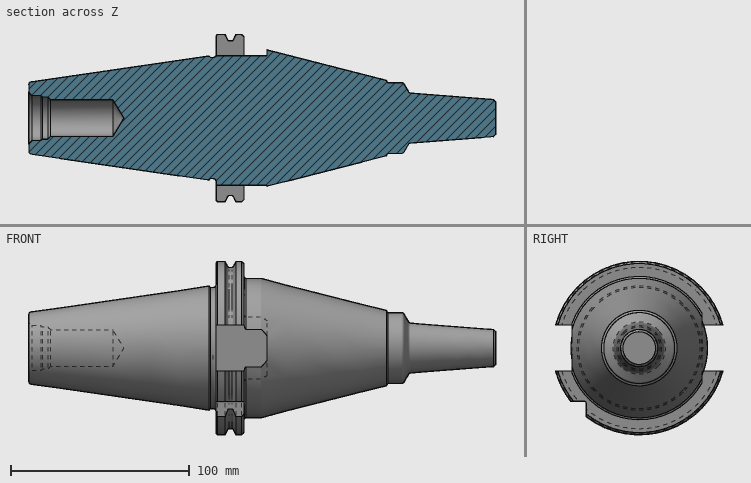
import cadquery as cq
import math

total_length = 261.5
shank_end = 101.0
flange_start = 105.0
flange_end = 120.5
body_cone_start = 130.3
collar_start = 200.5
collar_end = 209.8
nose_start = 213.2

shank_small_radius = 20.1
shank_taper = 7 / 24 / 2
shank_large_radius = shank_small_radius + shank_taper * shank_end
shank_end_fillet = 1.5

neck_radius = 34.0
neck_slope_length = 0.8
neck_fillet = 1.5

flange_diameter = 97.3
flange_radius = flange_diameter / 2
flange_rear_chamfer = 0.8
flange_front_chamfer = 1.3
groove_center = 113.0
groove_depth = 3.5
groove_floor_width = 2.5
groove_mouth_width = 6.0
groove_floor_fillet = 0.8

body_diameter = 78.2
body_radius = body_diameter / 2
body_fillet = 1.0
body_cone_end_radius = 21.2
collar_radius = 20.0
collar_step_length = 0.8
collar_fillet = 1.5
nose_large_radius = 14.0
nose_small_radius = 10.5
nose_root_fillet = 0.8
nose_chamfer = 1.3

slot_width = 25.6
flat_end = 133.5
front_floor_y = 37.7
back_floor_y = 35.0
notch_offset = 29.8
notch_fillet = 1.0

mouth_radius = 14.6
mouth_depth = 0.5
lead_radius = 13.9
counterbore_radius = 12.5
counterbore_depth = 6.8
step_radius = 11.8
step_depth = 10.7
bore_radius = 10.2
bore_depth = 47.0
bore_tip_angle = 118.0


def revolve_about_axis(points):
    return cq.Workplane("XY").polyline(points).close().revolve(360, (0, 0, 0), (1, 0, 0))


def fillet_ring(solid, x, ring_radius, fillet_radius):
    """Fillet the circular edge of the given radius at station x."""
    tolerance = 0.03

    def is_ring(edge):
        at_station = abs(edge.Center().x - x) < tolerance
        return at_station and abs(edge.radius() - ring_radius) < tolerance

    rings = [edge for edge in solid.edges("%CIRCLE").vals() if is_ring(edge)]
    return solid.newObject(rings).fillet(fillet_radius)


def outer_body():
    groove_half_floor = groove_floor_width / 2
    groove_half_mouth = groove_mouth_width / 2
    groove_radius = flange_radius - groove_depth
    points = [
        (0, 0),
        (0, shank_small_radius),
        (shank_end, shank_large_radius),
        (shank_end + neck_slope_length, neck_radius),
        (flange_start, neck_radius),
        (flange_start, flange_radius - flange_rear_chamfer),
        (flange_start + flange_rear_chamfer, flange_radius),
        (groove_center - groove_half_mouth, flange_radius),
        (groove_center - groove_half_floor, groove_radius),
        (groove_center + groove_half_floor, groove_radius),
        (groove_center + groove_half_mouth, flange_radius),
        (flange_end - flange_front_chamfer, flange_radius),
        (flange_end, flange_radius - flange_front_chamfer),
        (flange_end, body_radius),
        (body_cone_start, body_radius),
        (collar_start, body_cone_end_radius),
        (collar_start + collar_step_length, collar_radius),
        (collar_end, collar_radius),
        (nose_start, nose_large_radius),
        (total_length - nose_chamfer, nose_small_radius),
        (total_length, nose_small_radius - nose_chamfer),
        (total_length, 0),
    ]
    solid = revolve_about_axis(points)
    solid = fillet_ring(solid, 0, shank_small_radius, shank_end_fillet)
    solid = fillet_ring(solid, flange_start, neck_radius, neck_fillet)
    solid = fillet_ring(solid, flange_end, body_radius, body_fillet)
    solid = fillet_ring(solid, collar_end, collar_radius, collar_fillet)
    for floor_edge in (groove_center - groove_half_floor, groove_center + groove_half_floor):
        solid = fillet_ring(solid, floor_edge, groove_radius, groove_floor_fillet)
    return fillet_ring(solid, nose_start, nose_large_radius, nose_root_fillet)


def drawbar_bore():
    tip_length = bore_radius / math.tan(math.radians(bore_tip_angle / 2))
    points = [
        (0, 0),
        (0, mouth_radius),
        (mouth_depth, lead_radius),
        (mouth_depth + lead_radius - counterbore_radius, counterbore_radius),
        (counterbore_depth, counterbore_radius),
        (counterbore_depth + counterbore_radius - step_radius, step_radius),
        (step_depth, step_radius),
        (step_depth + step_radius - bore_radius, bore_radius),
        (bore_depth, bore_radius),
        (bore_depth + tip_length, 0),
    ]
    return revolve_about_axis(points)


def side_block(start, end, floor_y, width, side):
    """Cutting block outside the plane y = side * floor_y; side is -1 or +1."""
    length = end - start
    depth = flange_radius - floor_y
    center = (start + length / 2, side * (floor_y + depth / 2), 0)
    return cq.Workplane("XY").box(length, depth, width).translate(center)


def drive_slot(side, floor_y):
    """Slot across the flange, continued as a full-width flat on the body."""
    slot = side_block(flange_start, flat_end, floor_y, slot_width, side)
    flat = side_block(flange_end, flat_end, floor_y, body_diameter, side)
    return slot.union(flat)


def orientation_notch():
    length = flange_end - flange_start
    size = flange_radius - notch_offset
    center_offset = -(notch_offset + size / 2)
    block = cq.Workplane("XY").box(length, size, size)
    block = block.edges("|X and >Y and >Z").fillet(notch_fillet)
    return block.translate((flange_start + length / 2, center_offset, center_offset))


result = (
    outer_body()
    .cut(drawbar_bore())
    .cut(drive_slot(-1, front_floor_y))
    .cut(drive_slot(1, back_floor_y))
    .cut(orientation_notch())
)